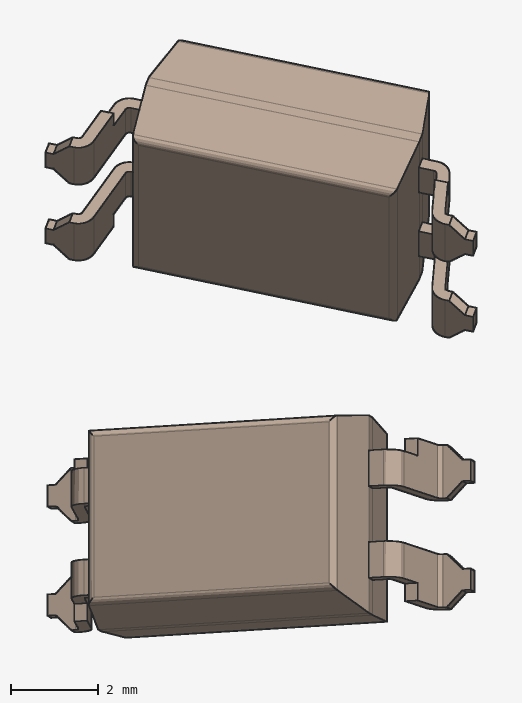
import cadquery as cq
import math


BODY_LENGTH = 6.5
BODY_WIDTH = 4.6
BODY_TOP = 3.85
BODY_BOTTOM = 0.35
BAND_TOP = 2.2
BAND_BOTTOM = 1.95
TOP_DRAFT = 10.0
BOTTOM_DRAFT = 4.5
FACE_FILLET = 0.16

LEAD_SPAN = 10.16
LEAD_PITCH = 2.54
LEAD_WIDTH = 1.24
SHOULDER_WIDTH = 0.83
SHOULDER_STEP = 1.27
TIP_WIDTH = 0.5
TIP_LENGTH = 0.19
TIP_TAPER = 0.38
BEND_DIAMETER = 0.8
INNER_BEND_RADIUS = 0.1
LEG_LEAN = 12.0
UPPER_BEND_X = 3.6
LEAD_EMBED = 0.41

OUTER_BEND_RADIUS = BEND_DIAMETER / 2
LEAD_THICKNESS = OUTER_BEND_RADIUS - INNER_BEND_RADIUS
LEAD_TOP = BAND_TOP


def body_slab(start, end, draft):
    """Rectangular block from Y = start to Y = end that narrows toward its end by the draft angle."""
    direction = math.copysign(1, end - start)
    plane = cq.Plane(origin=(0, start, 0), xDir=(1, 0, 0), normal=(0, direction, 0))
    return cq.Workplane(plane).rect(BODY_LENGTH, BODY_WIDTH).extrude(abs(end - start), taper=draft)


def make_body():
    band = body_slab(BAND_BOTTOM, BAND_TOP, 0)
    upper = body_slab(BAND_TOP, BODY_TOP, TOP_DRAFT).faces(">Y").edges().fillet(FACE_FILLET)
    lower = body_slab(BAND_BOTTOM, BODY_BOTTOM, BOTTOM_DRAFT).faces("<Y").edges().fillet(FACE_FILLET)
    return band.union(upper).union(lower)


def bend_point(center, radius, degrees):
    """Point on a bend at an angle measured from +X toward +Y."""
    angle = math.radians(degrees)
    return (center[0] + radius * math.cos(angle), center[1] + radius * math.sin(angle))


def lead_strip():
    """Gull-wing strip of the +X, +Z lead at full width."""
    lean = math.radians(LEG_LEAN)
    upper_center = (UPPER_BEND_X, LEAD_TOP - OUTER_BEND_RADIUS)
    bend_rise = upper_center[1] - OUTER_BEND_RADIUS
    bend_run = (OUTER_BEND_RADIUS + INNER_BEND_RADIUS + bend_rise * math.sin(lean)) / math.cos(lean)
    lower_center = (UPPER_BEND_X + bend_run, OUTER_BEND_RADIUS)

    root_x = BODY_LENGTH / 2 - LEAD_EMBED
    tip_x = LEAD_SPAN / 2
    upper_mid = (90 + LEG_LEAN) / 2
    lower_mid = upper_mid + 180

    profile = (
        cq.Workplane("XY")
        .workplane(offset=(LEAD_PITCH - LEAD_WIDTH) / 2)
        .moveTo(root_x, LEAD_TOP)
        .lineTo(*bend_point(upper_center, OUTER_BEND_RADIUS, 90))
        .threePointArc(
            bend_point(upper_center, OUTER_BEND_RADIUS, upper_mid),
            bend_point(upper_center, OUTER_BEND_RADIUS, LEG_LEAN),
        )
        .lineTo(*bend_point(lower_center, INNER_BEND_RADIUS, 180 + LEG_LEAN))
        .threePointArc(
            bend_point(lower_center, INNER_BEND_RADIUS, lower_mid),
            bend_point(lower_center, INNER_BEND_RADIUS, 270),
        )
        .lineTo(tip_x, LEAD_THICKNESS)
        .lineTo(tip_x, 0)
        .lineTo(*bend_point(lower_center, OUTER_BEND_RADIUS, 270))
        .threePointArc(
            bend_point(lower_center, OUTER_BEND_RADIUS, lower_mid),
            bend_point(lower_center, OUTER_BEND_RADIUS, 180 + LEG_LEAN),
        )
        .lineTo(*bend_point(upper_center, INNER_BEND_RADIUS, LEG_LEAN))
        .threePointArc(
            bend_point(upper_center, INNER_BEND_RADIUS, upper_mid),
            bend_point(upper_center, INNER_BEND_RADIUS, 90),
        )
        .lineTo(root_x, LEAD_TOP - LEAD_THICKNESS)
        .close()
    )
    return profile.extrude(LEAD_WIDTH)


def make_lead():
    """Lead at +X, +Z, with its narrow shoulder and pointed foot."""
    lead_center = LEAD_PITCH / 2
    tip_x = LEAD_SPAN / 2

    shoulder_edge = lead_center - LEAD_WIDTH / 2 + SHOULDER_WIDTH
    shoulder_notch = cq.Workplane("XY").box(tip_x, LEAD_TOP, LEAD_WIDTH, centered=False)
    lead = lead_strip().cut(shoulder_notch.translate((0, SHOULDER_STEP, shoulder_edge)))

    taper_x = tip_x - TIP_LENGTH
    tip_half = TIP_WIDTH / 2
    lead_half = LEAD_WIDTH / 2
    for side in (-1, 1):
        foot_corner = (
            cq.Workplane("XZ")
            .polyline([
                (tip_x, lead_center + side * tip_half),
                (taper_x, lead_center + side * tip_half),
                (taper_x - TIP_TAPER, lead_center + side * lead_half),
                (tip_x, lead_center + side * lead_half),
            ])
            .close()
            .extrude(-LEAD_THICKNESS)
        )
        lead = lead.cut(foot_corner)
    return lead


result = make_body()
right_upper_lead = make_lead()
right_leads = right_upper_lead.union(right_upper_lead.mirror("XY"))
result = result.union(right_leads).union(right_leads.mirror("YZ"))